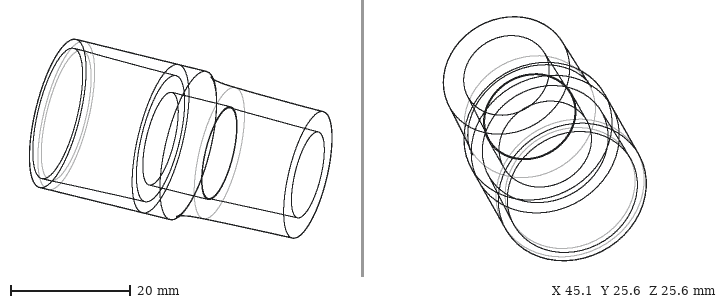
import cadquery as cq

length = 45.15
mouth_end = 1.55
socket_floor = 18.55
shoulder_start = 23.55
spigot_start = 29.15

body_radius = 25.6 / 2
spigot_root_radius = 11.35
spigot_tip_radius = 10.92

mouth_radius = 11.25
socket_floor_radius = 10.9
throat_radius = 16.0 / 2
spigot_bore_root_radius = 7.8
spigot_bore_tip_radius = 7.4


def revolve_about_x(profile):
    """Turn an (x, radius) profile about X, keeping seams between aligned faces."""
    return profile.close().revolve(360, (0, 0, 0), (1, 0, 0), clean=False)


def make_socket():
    """Straight mouth followed by a tapered socket, in one constant outer diameter."""
    profile = (
        cq.Workplane("XY")
        .moveTo(0, mouth_radius)
        .lineTo(0, body_radius)
        .lineTo(mouth_end, body_radius)
        .lineTo(socket_floor, body_radius)
        .lineTo(socket_floor, socket_floor_radius)
        .lineTo(mouth_end, mouth_radius)
    )
    return revolve_about_x(profile)


def make_reducer():
    """Socket floor, curved shoulder and tapered spigot in one turned body."""
    taper_slope = (spigot_root_radius - spigot_tip_radius) / (length - spigot_start)
    shoulder_corner_radius = spigot_root_radius + taper_slope * (spigot_start - shoulder_start)
    shoulder_curve = [
        (shoulder_start, body_radius),
        (shoulder_start, shoulder_corner_radius),
        (spigot_start, spigot_root_radius),
    ]
    profile = (
        cq.Workplane("XY")
        .moveTo(socket_floor, throat_radius)
        .lineTo(socket_floor, body_radius)
        .lineTo(shoulder_start, body_radius)
        .bezier(shoulder_curve)
        .lineTo(length, spigot_tip_radius)
        .lineTo(length, spigot_bore_tip_radius)
        .lineTo(spigot_start, spigot_bore_root_radius)
        .lineTo(spigot_start, throat_radius)
    )
    return revolve_about_x(profile)


socket = make_socket()
reducer = make_reducer()

result = cq.Compound.makeCompound([socket.val(), reducer.val()])